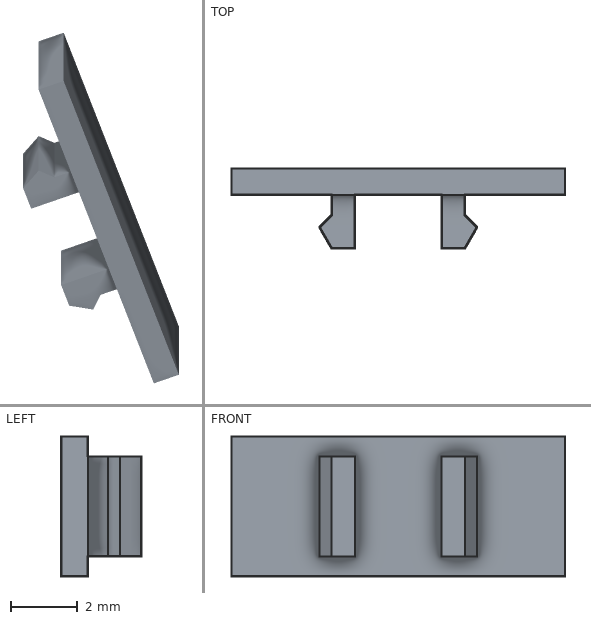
import cadquery as cq
import math

plate_length = 10.0
plate_thickness = 0.8
plate_height = 4.2

clip_reach = 1.6
clip_height = 3.0
clip_span = 4.0
stem_thickness = 0.7
barb_start = 0.6
lead_in_angle = 30

stem_outer = clip_span / 2
stem_inner = stem_outer - stem_thickness
barb_length = clip_reach - barb_start
barb_overhang = barb_length / (1 + 1 / math.tan(math.radians(lead_in_angle)))
barb_tip = barb_start + barb_overhang


def make_plate():
    """Plate centred in X and Z, with its clip side on the Y = 0 plane."""
    return cq.Workplane("XY").box(
        plate_length, plate_thickness, plate_height, centered=(True, False, True)
    )


def make_clip():
    """Clip on the +X side, its barb facing outward and tapering to the stem width at the end."""
    profile = [
        (stem_inner, 0),
        (stem_outer, 0),
        (stem_outer, -barb_start),
        (stem_outer + barb_overhang, -barb_tip),
        (stem_outer, -clip_reach),
        (stem_inner, -clip_reach),
    ]
    return cq.Workplane("XY").polyline(profile).close().extrude(clip_height / 2, both=True)


clip = make_clip()
result = make_plate().union(clip).union(clip.mirror("YZ"))